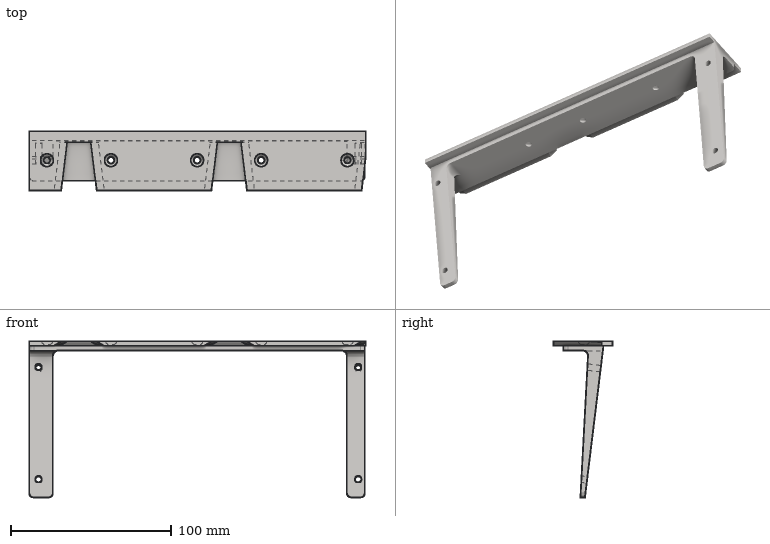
import cadquery as cq

LENGTH = 210.0
DEPTH = 37.0
HEIGHT = 97.5
THICKNESS = 3.0

SLOT_PITCH = 93.7
SLOT_COUNT = 3
FIRST_SLOT_CENTER = 31.0
SLOT_REAR_Y = -6.7
SLOT_REAR_WIDTH = 14.7
SLOT_FRONT_WIDTH = 22.0
SLOT_UNDERCUT = 4.6

HOLE_DIAMETER = 4.0
COUNTERSINK_DIAMETER = 2 * HOLE_DIAMETER
COUNTERSINK_ANGLE = 90.0
SCREW_Y = -18.0
SCREW_OFFSET = 20.0

BRACKET_LENGTH = 209.4
FLANGE_FRONT_Y = -30.9
FLANGE_BOTTOM_Z = -2 * THICKNESS
LEG_REAR_Y = -5.7
LEG_FRONT_Y = -15.1
LEG_TIP_FRONT_Y = -20.2
LEFT_LEG_WIDTH = 15.0
RIGHT_LEG_WIDTH = 11.3
CORNER_RADIUS = 3.0
LEG_FILLET_RADIUS = 3.2
LEG_HOLE_INSET = 5.9
LEG_HOLE_SPACING = 199.3
LEG_HOLE_HEIGHTS = (-16.0, -85.9)

slot_centers = [FIRST_SLOT_CENTER + i * SLOT_PITCH for i in range(SLOT_COUNT)]
screw_positions = [
    (center + side * SCREW_OFFSET, SCREW_Y)
    for center in slot_centers
    for side in (-1, 1)
    if center + side * SCREW_OFFSET < LENGTH
]
flange_screw_positions = screw_positions[1:-1]


def slot_outline(center, z, extra):
    """Tapered slot outline at one height, widened by extra on each side."""
    rear_half = SLOT_REAR_WIDTH / 2 + extra
    front_half = SLOT_FRONT_WIDTH / 2 + extra
    return cq.Wire.makePolygon(
        [
            cq.Vector(center - rear_half, SLOT_REAR_Y, z),
            cq.Vector(center + rear_half, SLOT_REAR_Y, z),
            cq.Vector(center + front_half, -DEPTH, z),
            cq.Vector(center - front_half, -DEPTH, z),
        ],
        close=True,
    )


def dovetail_slot(center):
    """Slot volume that widens toward the front and toward the bottom."""
    bottom = slot_outline(center, -THICKNESS, SLOT_UNDERCUT)
    top = slot_outline(center, 0, 0)
    return cq.Solid.makeLoft([bottom, top], True)


def make_plate():
    plate = cq.Workplane("XY").box(LENGTH, DEPTH, THICKNESS, centered=False)
    plate = plate.translate((0, -DEPTH, -THICKNESS))
    for center in slot_centers:
        plate = plate.cut(cq.Workplane(obj=dovetail_slot(center)))
    screw_plane = plate.copyWorkplane(cq.Workplane("XY")).pushPoints(screw_positions)
    return screw_plane.cskHole(HOLE_DIAMETER, COUNTERSINK_DIAMETER, COUNTERSINK_ANGLE, THICKNESS)


def make_leg(left_x, width):
    """Wedge-shaped leg with a rounded tip, starting at the underside of the plate."""
    side_profile = [
        (LEG_REAR_Y, -THICKNESS),
        (LEG_FRONT_Y, -THICKNESS),
        (LEG_TIP_FRONT_Y, -HEIGHT),
        (LEG_TIP_FRONT_Y + THICKNESS, -HEIGHT),
    ]
    leg = cq.Workplane("YZ", origin=(left_x, 0, 0)).polyline(side_profile).close().extrude(width)
    return leg.faces("<Z").edges("|Y").fillet(CORNER_RADIUS)


def make_rear_cutter():
    """Volume behind the sloping rear face shared by the legs and the flange."""
    profile = [
        (LEG_REAR_Y, -THICKNESS),
        (LEG_TIP_FRONT_Y + THICKNESS, -HEIGHT),
        (LEG_REAR_Y, -HEIGHT),
    ]
    return cq.Workplane("YZ").polyline(profile).close().extrude(BRACKET_LENGTH)


def make_flange():
    flange_depth = LEG_REAR_Y - FLANGE_FRONT_Y
    flange = cq.Workplane("XY").box(BRACKET_LENGTH, flange_depth, THICKNESS, centered=False)
    flange = flange.translate((0, FLANGE_FRONT_Y, FLANGE_BOTTOM_Z))
    flange = flange.cut(make_rear_cutter())
    return flange.faces("<Y").edges("|Z").fillet(CORNER_RADIUS)


def make_leg_holes():
    """Mounting holes square to the sloping rear face of the legs."""
    rear_slope = (LEG_TIP_FRONT_Y + THICKNESS - LEG_REAR_Y) / (HEIGHT - THICKNESS)
    hole_direction = cq.Vector(0, 1, rear_slope)
    holes = cq.Workplane("XY")
    for x in (LEG_HOLE_INSET, LEG_HOLE_INSET + LEG_HOLE_SPACING):
        for front_z in LEG_HOLE_HEIGHTS:
            drop_share = (-front_z - THICKNESS) / (HEIGHT - THICKNESS)
            front_y = LEG_FRONT_Y + (LEG_TIP_FRONT_Y - LEG_FRONT_Y) * drop_share
            entry = cq.Vector(x, front_y, front_z)
            start = entry - hole_direction * HOLE_DIAMETER
            holes = holes.add(cq.Solid.makeCylinder(HOLE_DIAMETER / 2, DEPTH, start, hole_direction))
    return holes.combine()


def make_bracket():
    right_leg_x = BRACKET_LENGTH - RIGHT_LEG_WIDTH
    bracket = make_flange()
    bracket = bracket.union(make_leg(0, LEFT_LEG_WIDTH))
    bracket = bracket.union(make_leg(right_leg_x, RIGHT_LEG_WIDTH))

    corner_boxes = [
        cq.selectors.BoxSelector(
            (left_x - LEG_FILLET_RADIUS, LEG_FRONT_Y - LEG_FILLET_RADIUS, FLANGE_BOTTOM_Z - THICKNESS / 2),
            (right_x + LEG_FILLET_RADIUS, LEG_REAR_Y, FLANGE_BOTTOM_Z + THICKNESS / 2),
        )
        for left_x, right_x in ((0, LEFT_LEG_WIDTH), (right_leg_x, BRACKET_LENGTH))
    ]
    inner_corners = bracket.faces("-Z").faces(">Z").edges(corner_boxes[0] + corner_boxes[1])
    bracket = inner_corners.fillet(LEG_FILLET_RADIUS)

    flange_holes = (
        cq.Workplane("XY", origin=(0, 0, FLANGE_BOTTOM_Z))
        .pushPoints(flange_screw_positions)
        .circle(HOLE_DIAMETER / 2)
        .extrude(THICKNESS)
    )
    return bracket.cut(flange_holes).cut(make_leg_holes())


plate = make_plate()
bracket = make_bracket()
result = cq.Compound.makeCompound([plate.val(), bracket.val()])